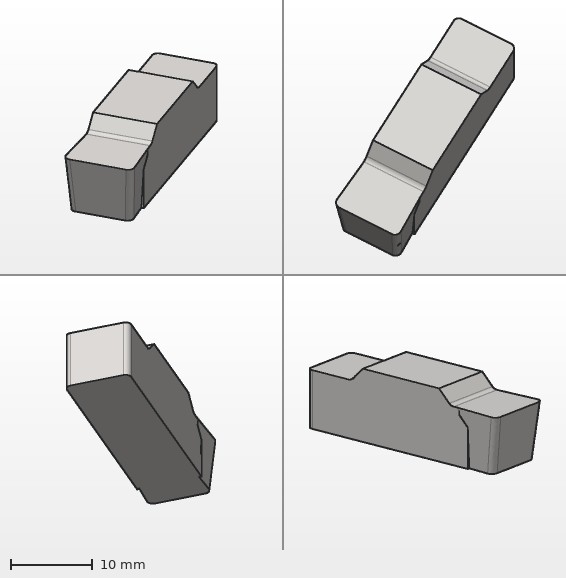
import cadquery as cq
import math

length = 30.0
head_width = 9.0
body_width = 8.4
height = 9.45
deck_height = 7.6
front_y = -length / 2
rear_y = length / 2

hump_length = 12.0
hump_front_y = -5.73
hump_rear_y = hump_front_y + hump_length
hump_rise = height - deck_height
hump_foot_radius = 1.0

shoulder_upper_y = front_y + 6.1
shoulder_lower_y = front_y + 4.75
shoulder_upper_z = 6.7
shoulder_lower_z = shoulder_upper_z - (shoulder_upper_y - shoulder_lower_y)

front_relief = math.tan(math.radians(7))
side_relief = math.tan(math.radians(3))
side_taper_angle = 3.0
side_taper = math.tan(math.radians(side_taper_angle))
head_back_y = front_y + 7.2
head_corner_radius = 0.8
rear_corner_radius = 0.75


def make_body():
    """Side profile with a 45 degree hump, extruded across the width."""
    profile = [
        (shoulder_lower_y, 0),
        (rear_y, 0),
        (rear_y, deck_height),
        (hump_rear_y + hump_rise, deck_height),
        (hump_rear_y, height),
        (hump_front_y, height),
        (hump_front_y - hump_rise, deck_height),
        (shoulder_upper_y, deck_height),
        (shoulder_upper_y, shoulder_upper_z),
        (shoulder_lower_y, shoulder_lower_z),
    ]
    body = cq.Workplane("YZ").polyline(profile).close().extrude(body_width / 2, both=True)
    for foot_y in (hump_front_y - hump_rise, hump_rear_y + hump_rise):
        foot = cq.selectors.NearestToPointSelector((0, foot_y, deck_height))
        body = body.edges(foot).fillet(hump_foot_radius)
    return body.edges("|Z and >Y").fillet(rear_corner_radius)


def head_outline(z):
    """Corners of the head at height z, narrowing backwards and downwards."""
    depth = deck_height - z
    tip_y = front_y + depth * front_relief
    corner_reach = head_corner_radius * math.tan(math.radians((90 - side_taper_angle) / 2))
    sharp_half_width = head_width / 2 + corner_reach * side_taper - depth * side_relief
    tip_half = sharp_half_width - (tip_y - front_y) * side_taper
    back_half = sharp_half_width - (head_back_y - front_y) * side_taper
    return [
        (-tip_half, tip_y),
        (tip_half, tip_y),
        (back_half, head_back_y),
        (-back_half, head_back_y),
    ]


def make_head():
    """Head with relief on the front and both sides, and rounded front corners."""
    head = (
        cq.Workplane("XY")
        .polyline(head_outline(0))
        .close()
        .workplane(offset=deck_height)
        .polyline(head_outline(deck_height))
        .close()
        .loft(ruled=True, combine=True)
    )
    front_corners = head.faces("<Y").edges("not #Z")
    return front_corners.fillet(head_corner_radius)


result = make_body().union(make_head())